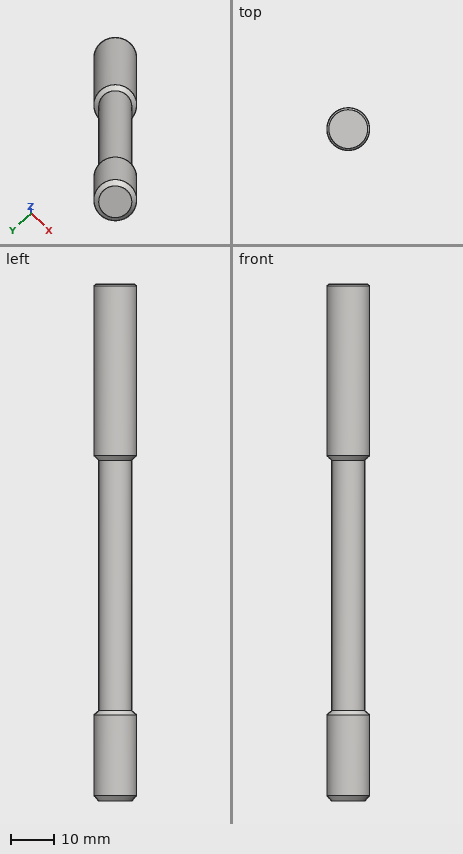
import cadquery as cq

total_length = 120.0
large_diameter = 10.0
rod_diameter = 7.7
large_radius = large_diameter / 2
rod_radius = rod_diameter / 2
shoulder_step = large_radius - rod_radius

handle_length = 40.9
handle_top_chamfer = 0.5
handle_bottom = total_length - handle_length

collar_edge_height = 20.0
collar_top_chamfer_height = 1.0
collar_bottom_chamfer_height = 1.3


def make_handle():
    """Plain cylinder, with a small top chamfer and a bottom chamfer down to the rod."""
    handle = cq.Workplane("XY").workplane(offset=handle_bottom).circle(large_radius).extrude(handle_length)
    handle = handle.faces(">Z").chamfer(handle_top_chamfer)
    return handle.faces("<Z").chamfer(shoulder_step)


def make_rod():
    """Slender rod and its tip collar as one turned body, ending on the handle's lower face."""
    half_profile = [
        (0, 0),
        (rod_radius, 0),
        (large_radius, collar_bottom_chamfer_height),
        (large_radius, collar_edge_height),
        (rod_radius, collar_edge_height + collar_top_chamfer_height),
        (rod_radius, handle_bottom),
        (0, handle_bottom),
    ]
    return cq.Workplane("XZ").polyline(half_profile).close().revolve(360, (0, 0, 0), (0, 1, 0))


handle = make_handle()
rod = make_rod()

result = cq.Compound.makeCompound([handle.val(), rod.val()])